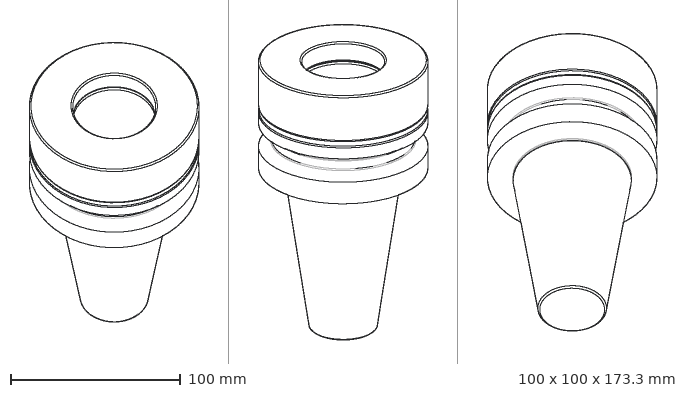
import cadquery as cq
import math

total_height = 173.3

head_diameter = 100.0
head_radius = head_diameter / 2
head_height = 70.0
edge_chamfer = 1.0

band_top_depth = 28.8
band_height = 4.9
band_depth = 0.3
band_wall_height = 0.95

gripper_top_depth = 40.7
gripper_bottom_depth = 56.0
neck_radius = 42.3
gripper_wall_angle = math.radians(30)
neck_fillet = 1.0

relief_radius = 34.5
relief_fillet = 0.5
relief_height = 1.13
relief_cone_height = 0.5

shank_top_diameter = 69.8
shank_top_radius = shank_top_diameter / 2
taper_on_diameter = 7 / 24

bore_radius = 24.5
bore_depth = 14.0
bore_chamfer = 1.0
bore_groove_wall = 0.5

head_bottom = total_height - head_height
relief_cone_top = head_bottom - relief_height
shank_top = relief_cone_top - relief_cone_height
shank_end_radius = shank_top_radius - shank_top * taper_on_diameter / 2


def revolve_profile(points):
    """Turn a closed outline of (radius, height) points around the Z axis."""
    return cq.Workplane("XZ").polyline(points).close().revolve(360, (0, 0, 0), (0, 1, 0))


def edges_at(body, radius, height):
    """Pick the circular edge of the body with the given radius and height."""
    margin = 0.09
    box = cq.selectors.BoxSelector(
        (-radius - margin, -radius - margin, height - margin),
        (radius + margin, radius + margin, height + margin),
        boundingbox=True,
    )
    return body.edges("%CIRCLE").edges(box)


def make_head():
    head = (
        cq.Workplane("XY", origin=(0, 0, head_bottom))
        .circle(head_radius)
        .extrude(head_height)
    )
    return head.faces(">Z").edges().chamfer(edge_chamfer)


def make_groove(top_depth, height, floor_radius, wall_height):
    """Ring to cut from the head, with sloping walls above and below its floor."""
    top = total_height - top_depth
    bottom = top - height
    return revolve_profile([
        (head_radius, top),
        (floor_radius, top - wall_height),
        (floor_radius, bottom + wall_height),
        (head_radius, bottom),
    ])


def make_gripper_groove():
    wall_height = (head_radius - neck_radius) * math.tan(gripper_wall_angle)
    height = gripper_bottom_depth - gripper_top_depth
    groove = make_groove(gripper_top_depth, height, neck_radius, wall_height)
    neck_top = total_height - gripper_top_depth - wall_height
    neck_bottom = total_height - gripper_bottom_depth + wall_height
    for level in (neck_top, neck_bottom):
        groove = edges_at(groove, neck_radius, level).fillet(neck_fillet)
    return groove


def make_shank():
    shank = revolve_profile([
        (0, 0),
        (shank_end_radius, 0),
        (shank_top_radius, shank_top),
        (relief_radius, relief_cone_top),
        (relief_radius, head_bottom),
        (0, head_bottom),
    ])
    return shank.faces("<Z").edges().chamfer(edge_chamfer)


def make_bore():
    floor = total_height - bore_depth
    mouth_radius = bore_radius + bore_chamfer
    groove_bottom = floor + bore_chamfer
    groove_top = groove_bottom + bore_groove_wall
    return revolve_profile([
        (0, floor),
        (bore_radius, floor),
        (mouth_radius, groove_bottom),
        (mouth_radius, groove_top),
        (bore_radius, groove_top + bore_chamfer),
        (bore_radius, total_height - bore_chamfer),
        (mouth_radius, total_height),
        (0, total_height),
    ])


band_groove = make_groove(band_top_depth, band_height, head_radius - band_depth, band_wall_height)
holder = make_head().cut(band_groove).cut(make_gripper_groove())
holder = holder.union(make_shank())
holder = edges_at(holder, relief_radius, head_bottom).fillet(relief_fillet)
result = holder.cut(make_bore())